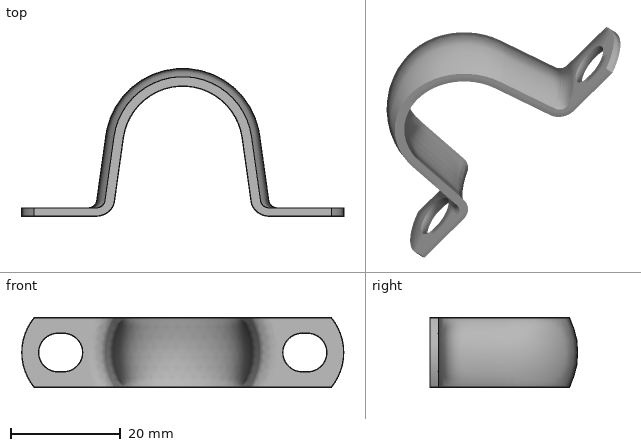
import cadquery as cq
import math

length = 58.7
width = 12.7
height = 26.95
thickness = 1.5
dome_radius = 14.15
leg_splay = 8.0
inner_bend_radius = 1.5
tip_radius = 10.0
hole_spacing = 44.5
slot_length = 8.0
slot_width = 7.0

outer_bend_radius = inner_bend_radius + thickness
dome_center_y = height - dome_radius
cavity_radius = dome_radius - thickness
leg_length = 2 * dome_center_y


def bulged_body(radius):
    """Sphere blending tangentially into two splayed round legs."""
    center = cq.Vector(0, dome_center_y, 0)
    body = cq.Workplane("XY").sphere(radius).translate(center)
    for side in (-1, 1):
        direction = cq.Vector(
            side * math.sin(math.radians(leg_splay)),
            -math.cos(math.radians(leg_splay)),
            0,
        )
        leg = cq.Solid.makeCylinder(radius, leg_length, center, direction)
        body = body.union(cq.Workplane(leg))
    return body


def strap_blank():
    """Flat feet joined to the hollow dome, trimmed to the strap width."""
    feet = cq.Workplane("XY").box(length, thickness, width, centered=(True, False, True))
    envelope = cq.Workplane("XY").box(length, height, width, centered=(True, False, True))
    shell = bulged_body(dome_radius).intersect(envelope)
    return feet.union(shell).cut(bulged_body(cavity_radius))


def bend_edges(body, y, radius):
    """Round the two curved edges where the legs meet the foot plane at y."""
    tolerance = 0.005
    bends = [
        edge
        for edge in body.edges().vals()
        if edge.geomType() not in ("LINE", "CIRCLE")
        and abs(edge.BoundingBox().ymin - y) < tolerance
        and abs(edge.BoundingBox().ymax - y) < tolerance
    ]
    return body.newObject(bends).fillet(radius)


def foot_outline():
    """Strap silhouette along Y, with an arc at each tip."""
    half_length = length / 2
    half_width = width / 2
    tip_depth = tip_radius - math.sqrt(tip_radius**2 - half_width**2)
    corner_x = half_length - tip_depth
    return (
        cq.Workplane("XZ")
        .moveTo(-corner_x, -half_width)
        .lineTo(corner_x, -half_width)
        .threePointArc((half_length, 0), (corner_x, half_width))
        .lineTo(-corner_x, half_width)
        .threePointArc((-half_length, 0), (-corner_x, -half_width))
        .close()
        .extrude(-height)
    )


strap = strap_blank()
strap = bend_edges(strap, thickness, inner_bend_radius)
strap = bend_edges(strap, 0, outer_bend_radius)

slots = (
    cq.Workplane("XZ")
    .pushPoints([(-hole_spacing / 2, 0), (hole_spacing / 2, 0)])
    .slot2D(slot_length, slot_width)
    .extrude(-thickness)
)
result = strap.intersect(foot_outline()).cut(slots)